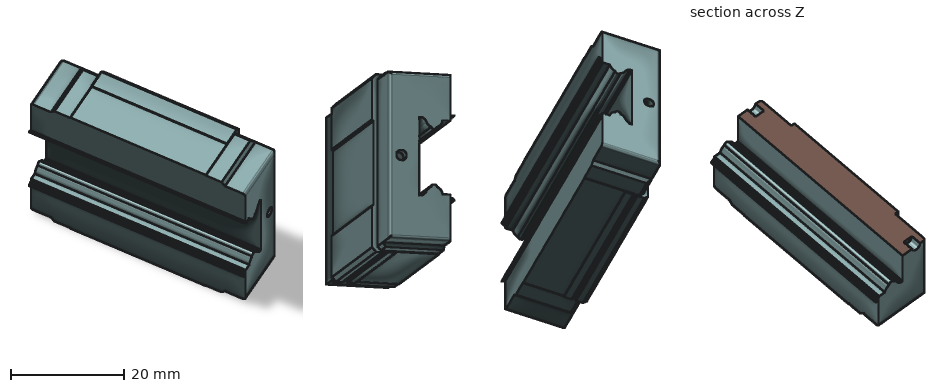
import cadquery as cq


length = 43.0
block_length = 27.18
cap_step_length = 33.5

cap_half_height = 15.0
cap_step_half_height = 15.7
block_half_height = 15.82
pad_half_height = 16.0

cap_back = 11.25
block_back = 12.0
pad_back = 12.25
pad_front = 7.85

cap_fillet = 0.55
pad_chamfer = 0.77
pad_inner_half = 7.52
pad_rise = pad_back - block_back

slot_floor = 5.7
slot_half_width = 7.05
mouth_half_width = 6.62
mouth_chamfer = 0.15

ridge_half_gap = 4.95
ridge_tip_y = 3.0
ridge_tip_width = 1.08
ridge_tip_foot = 5.38
front_shoulder_mid = (1.75, 5.95)
front_shoulder_foot_y = 1.45
back_shoulder_mid = (4.1, 5.7)
back_shoulder_foot = (4.45, 6.25)
back_hollow_mid = (4.77, 6.7)
back_hollow_foot_y = 5.3

lip_inner = 7.22
lip_outer = 7.65
lip_tip = -0.7
lip_blade_width = 0.25
lip_foot_thickness = 0.15

groove_y = 9.75
groove_floor_width = 0.45
groove_mouth_width = 0.85

grease_hole_diameter = 1.85
grease_hole_y = 9.0
grease_hole_depth = 2.15


def extrude_along_x(profile, run):
    """Extrude a closed (Y, Z) profile symmetrically about X = 0."""
    return cq.Workplane("YZ").polyline(profile).close().extrude(run / 2, both=True)


def mirrored(points):
    """Complete a +Z half profile with its mirror image about Z = 0."""
    return points + [(y, -z) for y, z in reversed(points)]


def make_end_caps():
    """Full-length body with rounded ends and a raised, 45 degree sloped middle stretch."""
    core = (
        cq.Workplane("XY")
        .box(length, cap_back, 2 * cap_half_height, centered=(True, False, True))
        .faces("<X or >X")
        .edges("|Y or >Y")
        .fillet(cap_fillet)
    )
    step_rise = cap_step_half_height - cap_half_height
    half_top = cap_step_length / 2
    half_foot = half_top + step_rise
    outline = [
        (-half_foot, cap_half_height),
        (-half_top, cap_step_half_height),
        (half_top, cap_step_half_height),
        (half_foot, cap_half_height),
    ]
    plan = outline + [(x, -z) for x, z in reversed(outline)]
    raised = cq.Workplane("XZ").polyline(plan).close().extrude(-cap_back)
    bevelled = mirrored([
        (0, cap_step_half_height),
        (cap_back - step_rise, cap_step_half_height),
        (cap_back, cap_half_height),
    ])
    return core.union(raised.intersect(extrude_along_x(bevelled, length)))


def make_block():
    """Middle block with side pads and two mounting pads on its back."""
    return extrude_along_x(mirrored([
        (0, block_half_height),
        (pad_front, block_half_height),
        (pad_front, pad_half_height),
        (pad_back - pad_chamfer, pad_half_height),
        (pad_back, pad_half_height - pad_chamfer),
        (pad_back, pad_inner_half + pad_rise),
        (block_back, pad_inner_half),
    ]), block_length)


def make_half_slot(side):
    """Half of the rail slot, whose flank has a ridge that runs in the rail groove."""
    tip_front = ridge_tip_y - ridge_tip_width / 2
    tip_back = ridge_tip_y + ridge_tip_width / 2

    def at(y, z):
        return (y, side * z)

    return (
        cq.Workplane("YZ")
        .moveTo(0, 0)
        .lineTo(*at(0, mouth_half_width + mouth_chamfer))
        .lineTo(*at(mouth_chamfer, mouth_half_width))
        .lineTo(*at(front_shoulder_foot_y, mouth_half_width))
        .threePointArc(at(*front_shoulder_mid), at(tip_front, ridge_tip_foot))
        .threePointArc(at(ridge_tip_y, ridge_half_gap), at(tip_back, ridge_tip_foot))
        .threePointArc(at(*back_shoulder_mid), at(*back_shoulder_foot))
        .threePointArc(at(*back_hollow_mid), at(back_hollow_foot_y, slot_half_width))
        .lineTo(*at(slot_floor, slot_half_width))
        .lineTo(slot_floor, 0)
        .close()
        .extrude(length / 2, both=True)
    )


def make_lip(side):
    """Bent sealing lip standing on the Y = 0 face beside one edge of the slot."""
    lip_height = lip_outer - lip_inner
    blade_front = lip_tip + lip_height
    foot_top = lip_inner + lip_foot_thickness
    outline = [
        (0, lip_inner),
        (blade_front, lip_inner),
        (lip_tip, lip_outer),
        (lip_tip + lip_blade_width, lip_outer),
        (blade_front + lip_blade_width - lip_foot_thickness, foot_top),
        (0, foot_top),
    ]
    return extrude_along_x([(y, side * z) for y, z in outline], length)


def make_reference_groove():
    """Shallow V-sided groove along the -Z side pad, level with the raised end caps."""
    half_floor = groove_floor_width / 2
    half_mouth = groove_mouth_width / 2
    return extrude_along_x([
        (groove_y - half_floor, -cap_step_half_height),
        (groove_y + half_floor, -cap_step_half_height),
        (groove_y + half_mouth, -pad_half_height),
        (groove_y - half_mouth, -pad_half_height),
    ], block_length)


def make_grease_hole(side):
    """Blind hole in the middle of one end face."""
    return (
        cq.Workplane("YZ", origin=(side * length / 2, 0, 0))
        .center(grease_hole_y, 0)
        .circle(grease_hole_diameter / 2)
        .extrude(-side * grease_hole_depth)
    )


result = make_end_caps().union(make_block()).cut(make_reference_groove())
for side in (-1, 1):
    result = (
        result
        .cut(make_half_slot(side))
        .cut(make_grease_hole(side))
        .union(make_lip(side))
    )